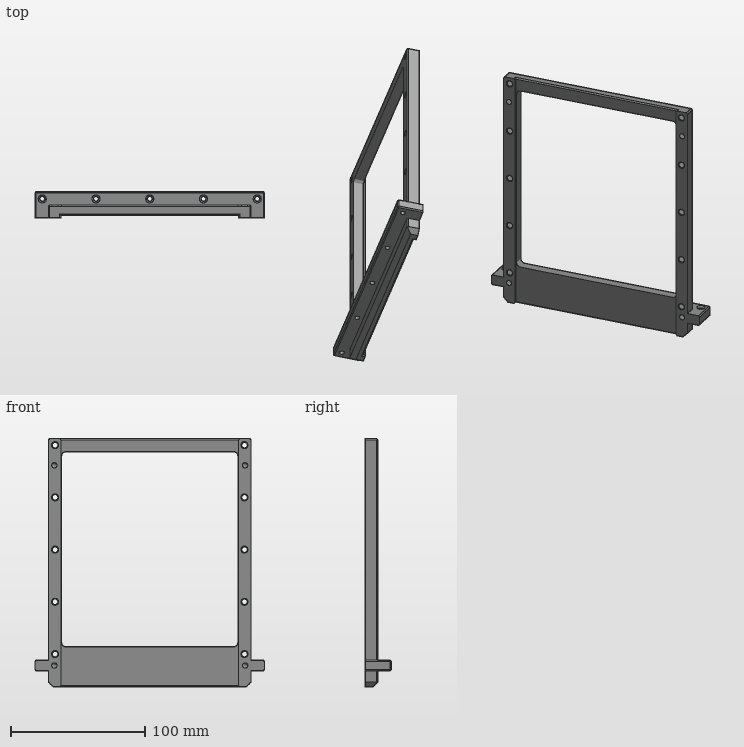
import cadquery as cq
import math

frame_width = 151.0
frame_depth = 9.5
frame_height = 185.0
edge_chamfer = 1.0
bevel_angle = 45.0
bottom_chamfer = 3.75

window_width = 131.0
window_bottom = 30.0
window_top = frame_height - 10.0
window_radius = 3.0

recess_width = 132.0
recess_depth = 1.8

flange_width = 171.0
flange_depth = 19.5
flange_bottom = 12.0
flange_height = 8.0
flange_edge_chamfer = 0.9

flange_hole_diameter = 3.5
flange_hole_sink_diameter = 6.0
flange_hole_pitch = 40.0
flange_hole_count = 5
flange_hole_from_back = 5.4

rail_hole_x = 70.5
rail_hole_diameter = 4.2
rail_hole_sink_diameter = 5.2
rail_hole_first_z = 24.5
rail_hole_pitch = 38.875
rail_hole_count = 5
sink_angle = 90.0

pin_hole_x = 71.0
pin_hole_diameter = 4.0
pin_hole_depth = 6.0
pin_tip_angle = 118.0
pin_hole_heights = (16.0, 165.0)


def box(width, y_front, y_back, z_bottom, z_top):
    """Block centred on x = 0 between the given y and z limits."""
    block = cq.Workplane("XY").box(width, y_back - y_front, z_top - z_bottom, centered=(True, False, False))
    return block.translate((0, y_front, z_bottom))


def make_frame():
    """Frame blank: the front outline crossed with the side outline, then the rear upright edges broken."""
    half_width = frame_width / 2
    shoulder = frame_height - edge_chamfer
    front_outline = [
        (half_width - bottom_chamfer, 0),
        (half_width, bottom_chamfer),
        (half_width, shoulder),
        (half_width - edge_chamfer, frame_height),
        (-half_width + edge_chamfer, frame_height),
        (-half_width, shoulder),
        (-half_width, bottom_chamfer),
        (-half_width + bottom_chamfer, 0),
    ]
    side_outline = [
        (0, 0),
        (frame_depth - bottom_chamfer, 0),
        (frame_depth, bottom_chamfer),
        (frame_depth, shoulder),
        (frame_depth - edge_chamfer, frame_height),
        (0, frame_height),
    ]
    front_prism = cq.Workplane("XZ").polyline(front_outline).close().extrude(-frame_depth)
    side_prism = cq.Workplane("YZ").polyline(side_outline).close().extrude(half_width, both=True)
    return front_prism.intersect(side_prism).edges("|Z and >Y").chamfer(edge_chamfer)


def make_flange():
    flange = box(flange_width, 0, flange_depth, flange_bottom, flange_bottom + flange_height)
    return flange.edges("not <Y").chamfer(flange_edge_chamfer)


def make_window():
    window = box(window_width, 0, flange_depth, window_bottom, window_top)
    return window.edges("|Y").fillet(window_radius)


def make_recess():
    """Recess tool, flaring like the edge chamfers where it runs out of the top and bottom."""
    channel = box(recess_width, -recess_depth, recess_depth, 0, frame_height)
    mouth_width = recess_width + 2 * edge_chamfer
    mouth_depth = 2 * (recess_depth + edge_chamfer)
    flare = cq.Workplane("XY").rect(mouth_width, mouth_depth).extrude(edge_chamfer, taper=bevel_angle)
    top_flare = flare.mirror("XY").translate((0, 0, frame_height))
    return channel.union(flare).union(top_flare)


def sunk_holes(plane, points, diameter, sink_diameter, depth):
    """Straight holes with a countersink, cutting against the plane normal."""
    sink_step = (sink_diameter - diameter) / 2
    sink_depth = sink_step / math.tan(math.radians(sink_angle / 2))
    straight = plane.pushPoints(points).circle(diameter / 2).extrude(-depth)
    sink = plane.pushPoints(points).circle(sink_diameter / 2).extrude(-sink_depth, taper=sink_angle / 2)
    return straight.union(sink)


def drill_flange(part):
    first_x = -flange_hole_pitch * (flange_hole_count - 1) / 2
    y = flange_depth - flange_hole_from_back
    points = [(first_x + i * flange_hole_pitch, y) for i in range(flange_hole_count)]
    top = cq.Workplane("XY", origin=(0, 0, flange_bottom + flange_height))
    return part.cut(sunk_holes(top, points, flange_hole_diameter, flange_hole_sink_diameter, flange_height))


def drill_rails(part):
    front = cq.Workplane("XZ")
    heights = [rail_hole_first_z + i * rail_hole_pitch for i in range(rail_hole_count)]
    points = [(side * rail_hole_x, z) for side in (-1, 1) for z in heights]
    return part.cut(sunk_holes(front, points, rail_hole_diameter, rail_hole_sink_diameter, flange_depth))


def drill_pin_holes(part):
    radius = pin_hole_diameter / 2
    tip_height = radius / math.tan(math.radians(pin_tip_angle / 2))
    drill_profile = [
        (0, 0),
        (radius, 0),
        (radius, pin_hole_depth),
        (0, pin_hole_depth + tip_height),
    ]
    drill = cq.Workplane("XY").polyline(drill_profile).close().revolve(360, (0, 0, 0), (0, 1, 0))
    for side in (-1, 1):
        for z in pin_hole_heights:
            part = part.cut(drill.translate((side * pin_hole_x, 0, z)))
    return part


result = make_frame().union(make_flange()).cut(make_window()).cut(make_recess())
result = drill_flange(result)
result = drill_rails(result)
result = drill_pin_holes(result)